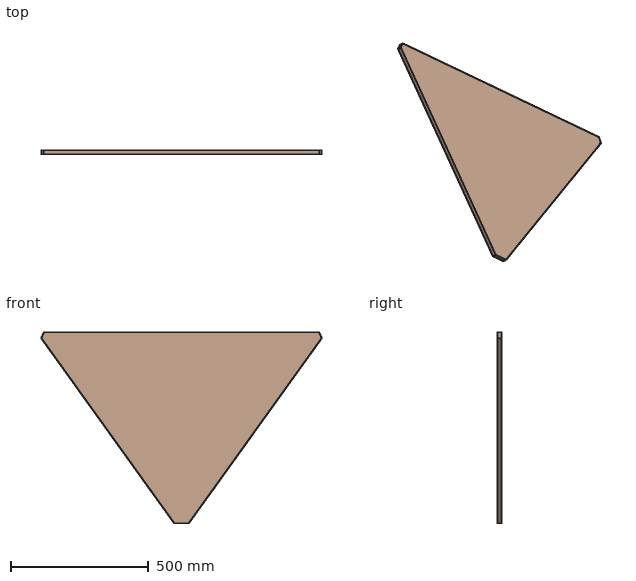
import cadquery as cq

width = 1019.0
height = 694.0
thickness = 15.0

top_edge_length = 999.0
upper_corner_drop = 21.0
bottom_edge_length = 53.0

top = height / 2
right_half = [
    (top_edge_length / 2, top),
    (width / 2, top - upper_corner_drop),
    (bottom_edge_length / 2, -top),
]
left_half = [(-x, z) for x, z in reversed(right_half)]

result = (
    cq.Workplane("XZ")
    .polyline(right_half + left_half)
    .close()
    .extrude(thickness / 2, both=True)
)